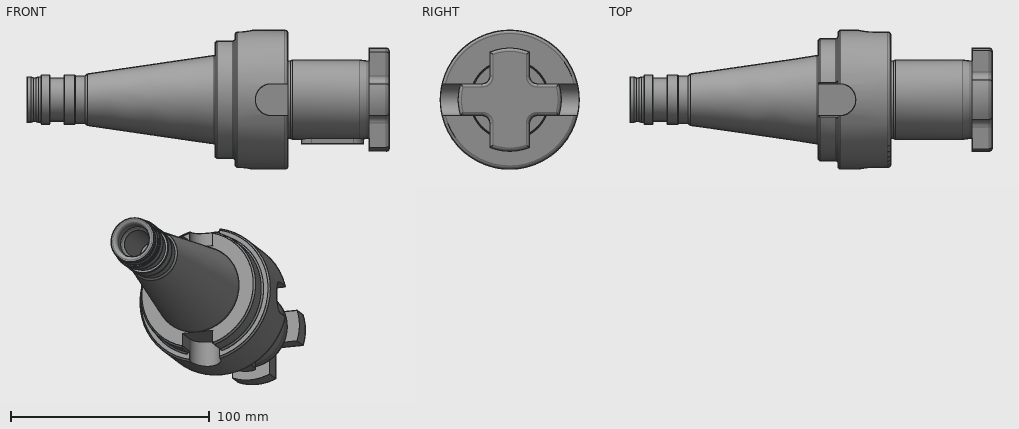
import cadquery as cq
import math


LENGTH = 182.4
FLANGE_DIAMETER = 70.0

TAIL_RADIUS = 11.5
TAIL_GROOVE_DIAMETER = 22.0
TAIL_GROOVE_RADIUS = TAIL_GROOVE_DIAMETER / 2
TAIL_GROOVE_START = 1.8
TAIL_GROOVE_END = 5.7
TAIL_GROOVE_RAMP = 1.3
COLLAR_DIAMETER = 25.0
COLLAR_RADIUS = COLLAR_DIAMETER / 2
COLLAR_CHAMFER = 0.4
FRONT_COLLAR_START = 7.0
FRONT_COLLAR_END = 11.5
MIDDLE_NECK_RADIUS = 11.0
REAR_COLLAR_START = 18.5
REAR_COLLAR_END = 24.3
REAR_NECK_RADIUS = 12.0

BORE_LIP_RADIUS = 2.2
COUNTERBORE_RADIUS = 8.4
COUNTERBORE_DEPTH = 5.7
SEAT_RADIUS = 7.8
SEAT_START = 6.0
SEAT_END = 7.1
BORE_RADIUS = 7.0
BORE_DEPTH = 30.0

TAPER_RATIO = 7 / 24
TAPER_START = 30.3
TAPER_LEAD_IN = 1.1
TAPER_END = 93.8
TAPER_END_RADIUS = 22.3

STEP_START = 94.7
STEP_RADIUS = 30.8
STEP_CHAMFER = 1.0
RIM_START = 104.7
RIM_END = 131.3
RIM_RADIUS = FLANGE_DIAMETER / 2
RIM_CHAMFER = 1.0
RIM_FILLET = 1.6

SLOT_WIDTH = 16.0
SLOT_EDGE_CHAMFER = 0.7
REAR_SLOT_FLOOR = 22.3
REAR_SLOT_END = 113.6
FRONT_SLOT_FLOOR = 21.0
FRONT_SLOT_END = 115.0

PILOT_RADIUS = 20.0
PILOT_RELIEF_RADIUS = 19.5
PILOT_RELIEF_END = 132.6
PILOT_START = 133.5
PILOT_LEAD_START = 167.3
PILOT_LEAD_END = 171.0
PILOT_LEAD_RADIUS = 19.5

KEY_START = 138.0
KEY_END = 169.5
KEY_WIDTH = 10.0
KEY_HEIGHT = 8.0
KEY_OUTER = 22.3

HEAD_THICKNESS = 10.2
HEAD_DIAMETER = 52.0
WIDE_LUG_WIDTH = 20.0
NARROW_LUG_WIDTH = 16.0
LUG_ROOT_FILLET = 3.8
HEAD_EDGE_FILLET = 1.6
HEAD_START = LENGTH - HEAD_THICKNESS


def revolve_about_x(profile):
    """Turn a closed (x, radius) outline about the X axis."""
    return profile.close().revolve(360, (0, 0, 0), (1, 0, 0))


def collar_outline(start, end):
    """Points of a collar with chamfered corners."""
    return [
        (start, COLLAR_RADIUS - COLLAR_CHAMFER),
        (start + COLLAR_CHAMFER, COLLAR_RADIUS),
        (end - COLLAR_CHAMFER, COLLAR_RADIUS),
        (end, COLLAR_RADIUS - COLLAR_CHAMFER),
    ]


def make_arbor_blank():
    """Solid of revolution carrying the tail, taper, flange and pilot."""
    taper_start_radius = TAPER_END_RADIUS - (TAPER_END - TAPER_START) * TAPER_RATIO / 2
    tail = [
        (0, 0),
        (0, TAIL_RADIUS),
        (TAIL_GROOVE_START, TAIL_RADIUS),
        (TAIL_GROOVE_START + TAIL_GROOVE_RAMP, TAIL_GROOVE_RADIUS),
        (TAIL_GROOVE_END - TAIL_GROOVE_RAMP, TAIL_GROOVE_RADIUS),
        (TAIL_GROOVE_END, TAIL_RADIUS),
        (FRONT_COLLAR_START, TAIL_RADIUS),
        *collar_outline(FRONT_COLLAR_START, FRONT_COLLAR_END),
        (FRONT_COLLAR_END, MIDDLE_NECK_RADIUS),
        (REAR_COLLAR_START, MIDDLE_NECK_RADIUS),
        *collar_outline(REAR_COLLAR_START, REAR_COLLAR_END),
        (REAR_COLLAR_END, REAR_NECK_RADIUS),
        (TAPER_START - TAPER_LEAD_IN, REAR_NECK_RADIUS),
    ]
    taper_and_flange = [
        (TAPER_START, taper_start_radius),
        (TAPER_END, TAPER_END_RADIUS),
        (STEP_START, TAPER_END_RADIUS),
        (STEP_START, STEP_RADIUS - STEP_CHAMFER),
        (STEP_START + STEP_CHAMFER, STEP_RADIUS),
        (RIM_START - STEP_CHAMFER, STEP_RADIUS),
        (RIM_START, STEP_RADIUS + STEP_CHAMFER),
        (RIM_START, RIM_RADIUS - RIM_CHAMFER),
        (RIM_START + RIM_CHAMFER, RIM_RADIUS),
        (RIM_END - RIM_FILLET, RIM_RADIUS),
    ]
    pilot = [
        (RIM_END, PILOT_RELIEF_RADIUS),
        (PILOT_RELIEF_END, PILOT_RELIEF_RADIUS),
        (PILOT_START, PILOT_RADIUS),
        (PILOT_LEAD_START, PILOT_RADIUS),
        (PILOT_LEAD_END, PILOT_LEAD_RADIUS),
        (HEAD_START, PILOT_LEAD_RADIUS),
        (HEAD_START, 0),
    ]
    outline = cq.Workplane("XZ").polyline(tail + taper_and_flange)
    outline = outline.tangentArcPoint((RIM_END, RIM_RADIUS - RIM_FILLET), relative=False)
    for point in pilot:
        outline = outline.lineTo(*point)
    return revolve_about_x(outline)


def make_drawbar_bore():
    """Blind bore with a rounded mouth, a wide entry and a two-stage cone down to its full depth."""
    arc_offset = BORE_LIP_RADIUS * (1 - math.sqrt(0.5))
    outline = (
        cq.Workplane("XZ")
        .moveTo(0, 0)
        .lineTo(0, COUNTERBORE_RADIUS + BORE_LIP_RADIUS)
        .threePointArc(
            (arc_offset, COUNTERBORE_RADIUS + arc_offset),
            (BORE_LIP_RADIUS, COUNTERBORE_RADIUS),
        )
        .lineTo(COUNTERBORE_DEPTH, COUNTERBORE_RADIUS)
        .lineTo(SEAT_START, SEAT_RADIUS)
        .lineTo(SEAT_END, BORE_RADIUS)
        .lineTo(BORE_DEPTH, BORE_RADIUS)
        .lineTo(BORE_DEPTH, 0)
    )
    return revolve_about_x(outline)


def make_rear_slot():
    """Slot on +Z, open to the tail, with a round end and chamfered edges in the step."""
    half_width = SLOT_WIDTH / 2
    centre_x = REAR_SLOT_END - half_width
    straight = (
        cq.Workplane("XY", origin=(0, 0, REAR_SLOT_FLOOR))
        .moveTo(STEP_START, -half_width)
        .lineTo(centre_x, -half_width)
        .threePointArc((REAR_SLOT_END, 0), (centre_x, half_width))
        .lineTo(STEP_START, half_width)
        .close()
        .extrude(RIM_RADIUS - REAR_SLOT_FLOOR)
    )
    flare_top = math.sqrt(STEP_RADIUS**2 - (half_width + SLOT_EDGE_CHAMFER) ** 2)
    flare_bottom = flare_top - SLOT_EDGE_CHAMFER
    flare_top_half_width = half_width + RIM_RADIUS - flare_bottom
    flare = (
        cq.Workplane("YZ", origin=(STEP_START, 0, 0))
        .moveTo(-half_width, flare_bottom)
        .lineTo(half_width, flare_bottom)
        .lineTo(flare_top_half_width, RIM_RADIUS)
        .lineTo(-flare_top_half_width, RIM_RADIUS)
        .close()
        .extrude(RIM_START - STEP_START)
    )
    return straight.union(flare)


def make_front_slot():
    """Slot on -Y, open to the pilot side, with a round end."""
    half_width = SLOT_WIDTH / 2
    centre_x = FRONT_SLOT_END + half_width
    return (
        cq.Workplane("XZ", origin=(0, -FRONT_SLOT_FLOOR, 0))
        .moveTo(RIM_END, -half_width)
        .lineTo(centre_x, -half_width)
        .threePointArc((FRONT_SLOT_END, 0), (centre_x, half_width))
        .lineTo(RIM_END, half_width)
        .close()
        .extrude(RIM_RADIUS - FRONT_SLOT_FLOOR)
    )


def make_key():
    """Round-ended key on the -Z side of the pilot."""
    return (
        cq.Workplane("XY", origin=((KEY_START + KEY_END) / 2, 0, -KEY_OUTER))
        .slot2D(KEY_END - KEY_START, KEY_WIDTH)
        .extrude(KEY_HEIGHT)
    )


def make_arbor(key):
    """Arbor with its bore, opposite pairs of drive slots and a seat that fits the key."""
    arbor = make_arbor_blank().cut(make_drawbar_bore())
    for slot in (make_rear_slot(), make_front_slot()):
        for angle in (0, 180):
            arbor = arbor.cut(slot.rotate((0, 0, 0), (1, 0, 0), angle))
    return arbor.cut(key)


def make_screw_head():
    """Cross-shaped head: wide lugs along Z, narrow lugs along Y."""
    head_plane = cq.Workplane("YZ", origin=(HEAD_START, 0, 0))

    def lug_pair(width_y, width_z):
        return head_plane.rect(width_y, width_z).extrude(HEAD_THICKNESS)

    cross = lug_pair(WIDE_LUG_WIDTH, HEAD_DIAMETER).union(lug_pair(HEAD_DIAMETER, NARROW_LUG_WIDTH))
    root_edges = cq.selectors.BoxSelector(
        (HEAD_START, -WIDE_LUG_WIDTH, -NARROW_LUG_WIDTH),
        (LENGTH, WIDE_LUG_WIDTH, NARROW_LUG_WIDTH),
    )
    cross = cross.edges("|X").edges(root_edges).fillet(LUG_ROOT_FILLET)
    disc = head_plane.circle(HEAD_DIAMETER / 2).extrude(HEAD_THICKNESS)
    return cross.intersect(disc).faces(">X").edges().fillet(HEAD_EDGE_FILLET)


key = make_key()
arbor = make_arbor(key)
screw_head = make_screw_head()

result = cq.Compound.makeCompound([arbor.val(), key.val(), screw_head.val()])